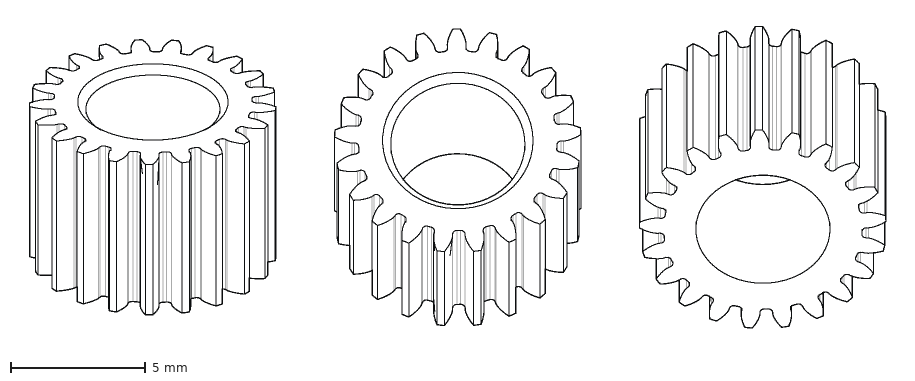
import cadquery as cq
import math

tooth_count = 21
tip_diameter = 9.2
pressure_angle = math.radians(20)
face_width = 6.5
root_fillet = 0.16

bore_diameter = 5.0
chamfer_size = 0.3

gear_module = tip_diameter / (tooth_count + 2)
dedendum = 1.25 * gear_module
pitch_radius = gear_module * tooth_count / 2
tip_radius = tip_diameter / 2
root_radius = pitch_radius - dedendum
base_radius = pitch_radius * math.cos(pressure_angle)
tooth_pitch = 2 * math.pi / tooth_count
flank_steps = 6
first_tooth_angle = math.pi


def involute(angle):
    return math.tan(angle) - angle


tip_roll_angle = math.tan(math.acos(base_radius / tip_radius))
base_half_angle = tooth_pitch / 4 + involute(pressure_angle)


def polar(radius, angle):
    return (radius * math.cos(angle), radius * math.sin(angle))


def half_angle(radius):
    """Half the angle that a tooth spans at a radius on its involute flank."""
    return base_half_angle - involute(math.acos(min(1, base_radius / radius)))


def add_tooth(outline, center):
    """Draw one tooth counterclockwise, then the root arc up to the next tooth."""
    depth = tip_radius - base_radius
    radii = [base_radius + depth * (i / flank_steps) ** 2 for i in range(flank_steps + 1)]
    rising = [polar(r, center - half_angle(r)) for r in radii]
    falling = [polar(r, center + half_angle(r)) for r in reversed(radii)]
    flank_start = center - base_half_angle
    flank_end = center + base_half_angle
    rising_tangents = [polar(1, flank_start), polar(1, flank_start + tip_roll_angle)]
    falling_tangents = [polar(-1, flank_end - tip_roll_angle), polar(-1, flank_end)]
    gap_center = center + tooth_pitch / 2
    next_tooth_start = flank_start + tooth_pitch

    outline = outline.lineTo(*rising[0])
    outline = outline.spline(rising[1:], tangents=rising_tangents, includeCurrent=True)
    outline = outline.threePointArc(polar(tip_radius, center), falling[0])
    outline = outline.spline(falling[1:], tangents=falling_tangents, includeCurrent=True)
    outline = outline.lineTo(*polar(root_radius, flank_end))
    return outline.threePointArc(
        polar(root_radius, gap_center), polar(root_radius, next_tooth_start)
    )


def is_root_corner(edge):
    middle = edge.Center()
    return math.hypot(middle.x, middle.y) < (root_radius + base_radius) / 2


def make_toothed_blank():
    outline = cq.Workplane("XY").moveTo(*polar(root_radius, first_tooth_angle - base_half_angle))
    for i in range(tooth_count):
        outline = add_tooth(outline, first_tooth_angle + i * tooth_pitch)
    blank = outline.close().extrude(face_width)
    return blank.edges("|Z").filter(is_root_corner).fillet(root_fillet)


def is_bore_edge(edge):
    middle = edge.positionAt(0.5)
    return math.hypot(middle.x, middle.y) < (bore_diameter / 2 + root_radius) / 2


def cut_bore(body):
    body = body.faces(">Z").workplane(origin=(0, 0, face_width)).hole(bore_diameter)
    return body.faces(">Z").edges("%CIRCLE").filter(is_bore_edge).chamfer(chamfer_size)


result = cut_bore(make_toothed_blank())